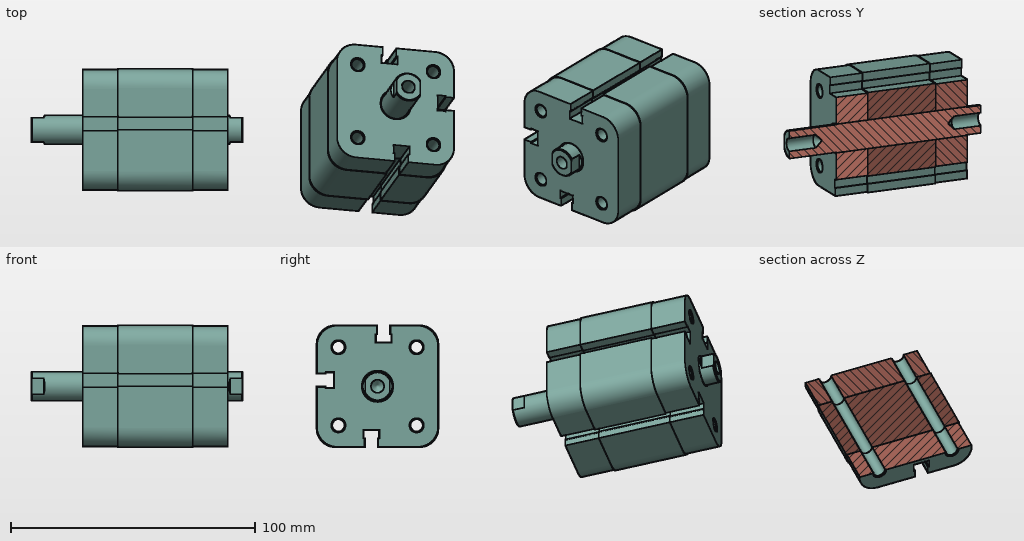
import cadquery as cq


cap_length = 14.45
barrel_length = 30.5
front_reach = 21.0
rear_reach = 6.05
barrel_start = cap_length
barrel_end = barrel_start + barrel_length
housing_length = barrel_end + cap_length
rod_length = front_reach + housing_length + rear_reach

barrel_side = 50.0
corner_radius = 8.0
cap_inset = 0.3

slot_offset = 2.5
slot_mouth_width = 5.2
slot_pocket_width = 6.2
slot_floor_height = 18.0
slot_lip_height = 21.3
slot_angles = (0, 90, 180)

bolt_spacing = 32.0
bolt_diameter = 5.0
edge_chamfer = 0.4
countersink_angle = 90

rod_diameter = 12.0
rod_chamfer = 0.35
flat_spacing = 10.0
flat_length = 5.0
flat_run_out = 0.5
tapped_diameter = 5.4
tapped_depth = 12.0
drill_tip_height = tapped_diameter / 2


def section_block(start, length, inset):
    """Rounded square prism along X with three slots, its outline and slot walls set in by inset."""
    side = barrel_side - 2 * inset
    block = (
        cq.Workplane("YZ", origin=(start, 0, 0))
        .rect(side, side)
        .extrude(length)
        .edges("|X")
        .fillet(corner_radius)
    )
    slot = slot_cutter(start, length, inset)
    for angle in slot_angles:
        block = block.cut(slot.rotate((0, 0, 0), (1, 0, 0), angle))
    return block


def slot_cutter(start, length, inset):
    """Slot in the top face: narrow mouth, square step, wider pocket."""
    mouth = slot_mouth_width / 2 + inset
    pocket = slot_pocket_width / 2 + inset
    floor = slot_floor_height - inset
    top = barrel_side / 2
    return (
        cq.Workplane("YZ", origin=(start, slot_offset, 0))
        .polyline([
            (mouth, top),
            (mouth, slot_lip_height),
            (pocket, slot_lip_height),
            (pocket, floor),
            (-pocket, floor),
            (-pocket, slot_lip_height),
            (-mouth, slot_lip_height),
            (-mouth, top),
        ])
        .close()
        .extrude(length)
    )


def barrel():
    """Middle section, with the bolt holes and the rod bore running straight through."""
    body = section_block(barrel_start, barrel_length, 0)
    body = bolt_centres(body, "<X").hole(bolt_diameter)
    return face_plane(body, "<X").hole(rod_diameter)


def end_cap(start, outer_face):
    """End cap with the bolt holes and the rod bore countersunk on its outer face."""
    cap = section_block(start, cap_length, cap_inset)
    cap = bolt_centres(cap, outer_face).cskHole(
        bolt_diameter, bolt_diameter + 2 * edge_chamfer, countersink_angle
    )
    return face_plane(cap, outer_face).cskHole(
        rod_diameter, rod_diameter + 2 * edge_chamfer, countersink_angle
    )


def face_plane(block, face):
    """Workplane on an end face of a block, centred on the rod axis."""
    return block.faces(face).workplane(origin=(0, 0, 0))


def bolt_centres(block, face):
    """The four bolt hole centres on an end face of a block."""
    return face_plane(block, face).rect(bolt_spacing, bolt_spacing, forConstruction=True).vertices()


def flat_cutter(tip, inward):
    """Cutter for the flat on the +Y side of a rod end; inward is the X direction into the rod."""
    flat = flat_spacing / 2
    rim = rod_diameter / 2
    shoulder = tip + inward * flat_length
    return (
        cq.Workplane("XY")
        .polyline([
            (tip, flat),
            (shoulder, flat),
            (shoulder + inward * flat_run_out, rim),
            (tip, rim),
        ])
        .close()
        .extrude(rod_diameter / 2, both=True)
    )


def tapped_hole_cutter(tip, inward):
    """Blind hole on the rod axis with a conical bottom."""
    radius = tapped_diameter / 2
    bottom = tip + inward * tapped_depth
    return (
        cq.Workplane("XY")
        .polyline([
            (tip, 0),
            (tip, radius),
            (bottom, radius),
            (bottom + inward * drill_tip_height, 0),
        ])
        .close()
        .revolve(360, (0, 0, 0), (1, 0, 0))
    )


def piston_rod():
    """Through rod with wrench flats and a tapped hole at each end."""
    front_tip = -front_reach
    rear_tip = housing_length + rear_reach
    rod = (
        cq.Workplane("YZ", origin=(front_tip, 0, 0))
        .circle(rod_diameter / 2)
        .extrude(rod_length)
        .faces("<X or >X")
        .edges()
        .chamfer(rod_chamfer)
    )
    for tip, inward in ((front_tip, 1), (rear_tip, -1)):
        flat = flat_cutter(tip, inward)
        rod = rod.cut(flat).cut(flat.mirror("XZ"))
        rod = rod.cut(tapped_hole_cutter(tip, inward))
    return rod


front_cap = end_cap(0, "<X")
rear_cap = end_cap(barrel_end, ">X")
barrel_body = barrel()
through_rod = piston_rod()

result = cq.Compound.makeCompound([
    front_cap.val(),
    rear_cap.val(),
    barrel_body.val(),
    through_rod.val(),
])